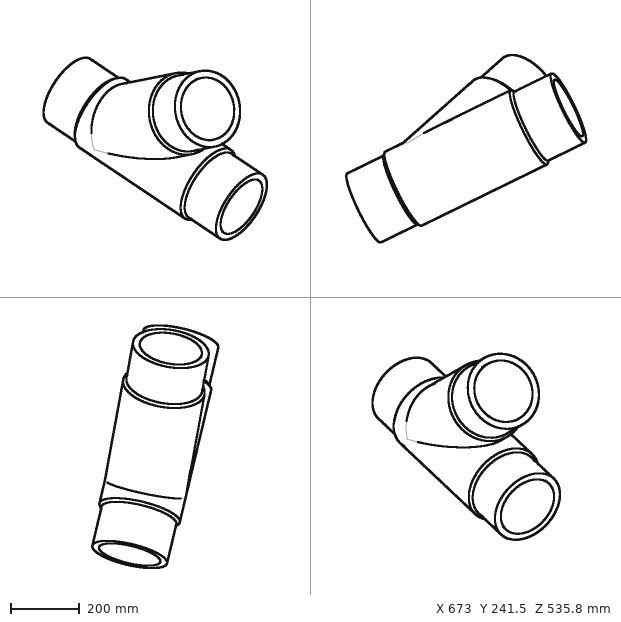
import cadquery as cq
import math

run_length = 673.0
body_diameter = 241.5
spigot_diameter = 225.0
bore_diameter = 184.0
spigot_length = 122.0
branch_length = 474.5
branch_angle = 45.0
branch_offset = 131.0

body_chamfer = (body_diameter - spigot_diameter) / 2

angle = math.radians(branch_angle)
run_start = cq.Plane(origin=(-run_length / 2, 0, 0), xDir=(0, 1, 0), normal=(1, 0, 0))
branch_start = cq.Plane(
    origin=(-branch_offset, 0, 0),
    xDir=(0, 1, 0),
    normal=(math.cos(angle), 0, math.sin(angle)),
)


def cylinder(plane, diameter, start, end):
    """Cylinder along the plane normal between two distances from the plane."""
    return cq.Workplane(plane).workplane(offset=start).circle(diameter / 2).extrude(end - start)


run_body = cylinder(run_start, body_diameter, spigot_length, run_length - spigot_length)
run_body = run_body.faces("<X or >X").chamfer(body_chamfer)
run = run_body.union(cylinder(run_start, spigot_diameter, 0, run_length))

branch_body = cylinder(branch_start, body_diameter, 0, branch_length - spigot_length)
branch_body = branch_body.faces(cq.selectors.DirectionMinMaxSelector(branch_start.zDir))
branch_body = branch_body.chamfer(body_chamfer)
branch = branch_body.union(cylinder(branch_start, spigot_diameter, 0, branch_length))

run_bore = cylinder(run_start, bore_diameter, 0, run_length)
branch_bore = cylinder(branch_start, bore_diameter, 0, branch_length)

result = run.union(branch).cut(run_bore).cut(branch_bore)